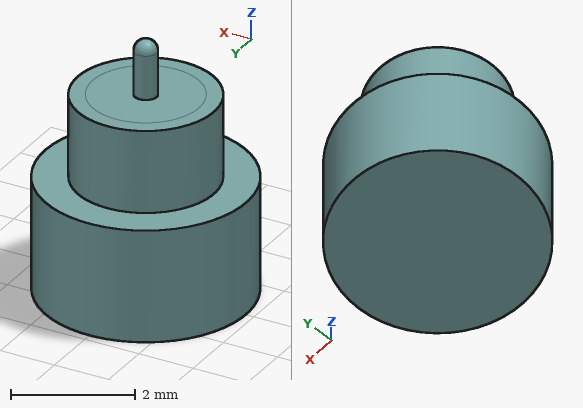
import cadquery as cq

total_height = 4.55
base_diameter = 3.7
base_height = 2.048
collar_diameter = 2.502
collar_height = 1.5
core_diameter = 1.95
pin_diameter = 0.4

pin_radius = pin_diameter / 2
collar_top = base_height + collar_height
pin_length = total_height - collar_top


def cylinder(diameter, height, bottom):
    """Upright cylinder on the Z axis."""
    return cq.Workplane("XY").workplane(offset=bottom).circle(diameter / 2).extrude(height)


housing = cylinder(base_diameter, base_height, 0).union(
    cylinder(collar_diameter, collar_height, base_height)
)
core = cylinder(core_diameter, collar_height, base_height)
housing = housing.cut(core)

pin_shaft = cylinder(pin_diameter, pin_length - pin_radius, collar_top)
pin_tip = cq.Workplane("XY").sphere(pin_radius).translate((0, 0, total_height - pin_radius))
pin = pin_shaft.union(pin_tip)

result = housing.union(core, clean=False).union(pin, clean=False)